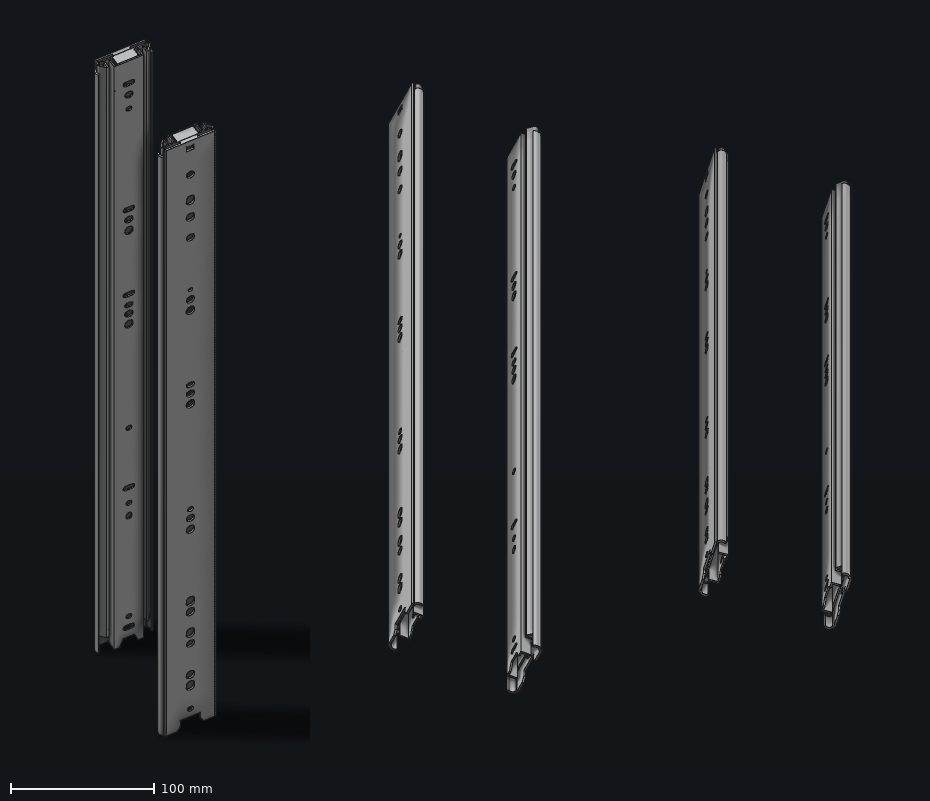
import cadquery as cq
import math


pair_width = 100.0
slide_length = 600.0
slide_height = 45.7
slide_depth = 12.7
sheet = 1.2
outer_sheet = 1.5
half_height = slide_height / 2

web_half = 20.9
web_bevel_depth = 0.7
web_bevel_height = 1.5
race_radius = 4.5
race_x = 5.2
race_y = half_height - race_radius
race_end_angle = 50.0
flange_top = slide_length - 7.5
notch_half = 8.0
notch_mouth_half = 10.5
notch_flare_height = 4.0
notch_height = 10.0
window_width = 6.0
window_height = 4.4
window_z = 592.5

middle_web_x = 3.3
middle_bottom = 16.0
rail_inner_y = 15.0
rail_tip_x = 10.8
rail_tip_y = 17.0
rail_radius = 2.7
rail_start_angle = 170.0
rail_return_x = 5.4

inner_bottom = 2.7
inner_half = 11.8
inner_flange_x = 5.0
inner_notch_top = 10.0
inner_notch_top_half = 4.5
inner_notch_mouth_half = 7.5

stop_thickness = 1.5
stop_bottom = slide_length - stop_thickness
outer_stop_half = 7.0
middle_stop_half = 8.6
stop_clearance = 0.05

pilot = 3.3
screw = 4.6
large = 6.4
slot_height = 7.6
tall_slot_height = 9.0
access_slot_width = 9.0

through_holes = [
    (565.3, large, large),
    (437.5, large, large),
    (426.3, large, slot_height),
    (350.0, large, screw),
    (341.0, large, large),
    (330.3, large, slot_height),
]
outer_holes = [
    (539.3, large, tall_slot_height),
    (522.0, large, slot_height),
    (501.0, large, large),
    (447.5, pilot, pilot),
    (222.5, screw, screw),
    (213.5, large, large),
    (202.0, large, slot_height),
    (128.3, large, tall_slot_height),
    (117.5, large, slot_height),
    (96.0, large, tall_slot_height),
    (85.0, large, large),
    (53.0, large, slot_height),
    (42.0, large, tall_slot_height),
    (18.0, screw, screw),
]
inner_holes = [
    (577.0, access_slot_width, screw),
    (551.0, screw, screw),
    (448.0, access_slot_width, screw),
    (361.0, access_slot_width, screw),
    (224.0, screw, screw),
    (163.0, access_slot_width, screw),
    (147.0, screw, screw),
    (134.0, screw, large),
    (31.0, screw, screw),
    (20.0, access_slot_width, screw),
]


def race_point(radius, angle):
    """Point at an angle on a circle about the +Y ball-race axis."""
    turn = math.radians(angle)
    return (race_x + radius * math.cos(turn), race_y + radius * math.sin(turn))


def box(x_range, y_half, z_range):
    """Block centred on y = 0."""
    depth = x_range[1] - x_range[0]
    height = z_range[1] - z_range[0]
    block = cq.Workplane("XY").box(depth, 2 * y_half, height, centered=(False, True, False))
    return block.translate((x_range[0], 0, z_range[0]))


def both_halves(half):
    """Complete a +Y half profile body by mirroring it about y = 0."""
    return half.union(half.mirror("XZ")).clean()


def cut_holes(body, holes, x_start, depth):
    """Cut round holes and round-ended slots through a web along +X."""
    plane = cq.Workplane("YZ", origin=(x_start, 0, 0))
    for z, width, height in holes:
        spot = plane.center(0, z)
        if width == height:
            cutter = spot.circle(width / 2).extrude(depth)
        elif width > height:
            cutter = spot.slot2D(width, height).extrude(depth)
        else:
            cutter = spot.slot2D(height, width, 90).extrude(depth)
        body = body.cut(cutter)
    return body


def cut_end_notch(body, half_outline, x_start, depth):
    """Cut a symmetric bottom notch given its +Y corner points from the mouth up."""
    other_half = [(-y, z) for y, z in reversed(half_outline)]
    cutter = (
        cq.Workplane("YZ", origin=(x_start, 0, 0))
        .polyline(half_outline + other_half)
        .close()
        .extrude(depth)
    )
    return body.cut(cutter)


def make_outer_member():
    """Mounting channel with rounded flanges, a bottom notch and a top stop tab."""
    race_inner_radius = race_radius - outer_sheet
    shoulder_inner_y = web_half - outer_sheet
    shoulder_x = race_x - math.sqrt(race_radius**2 - (web_half - race_y) ** 2)
    shoulder_inner_x = race_x - math.sqrt(race_inner_radius**2 - (shoulder_inner_y - race_y) ** 2)
    half = (
        cq.Workplane("XY")
        .lineTo(0, web_half - web_bevel_height)
        .lineTo(web_bevel_depth, web_half)
        .lineTo(shoulder_x, web_half)
        .threePointArc((race_x, half_height), race_point(race_radius, race_end_angle))
        .lineTo(*race_point(race_inner_radius, race_end_angle))
        .threePointArc((race_x, half_height - outer_sheet), (shoulder_inner_x, shoulder_inner_y))
        .lineTo(outer_sheet, shoulder_inner_y)
        .lineTo(outer_sheet, 0)
        .close()
        .extrude(slide_length)
    )
    body = both_halves(half)
    flange_relief = box((outer_sheet, slide_depth), half_height, (flange_top, slide_length))
    body = body.cut(flange_relief)
    stop_end = middle_web_x - stop_clearance
    stop_tab = box((0, stop_end), outer_stop_half, (stop_bottom, slide_length))
    body = body.union(stop_tab).clean()
    notch = [(notch_mouth_half, 0), (notch_half, notch_flare_height), (notch_half, notch_height)]
    body = cut_end_notch(body, notch, 0, outer_sheet)
    window_z_range = (window_z - window_height / 2, window_z + window_height / 2)
    body = body.cut(box((0, outer_sheet), window_width / 2, window_z_range))
    return cut_holes(body, through_holes + outer_holes, 0, outer_sheet)


def make_intermediate_member():
    """Channel with curled rails along both sides and a top stop plate."""
    web_inside = middle_web_x + sheet
    rail_inner_radius = rail_radius - sheet
    rail_start = race_point(rail_radius, rail_start_angle)
    half = (
        cq.Workplane("XY", origin=(0, 0, middle_bottom))
        .moveTo(middle_web_x, 0)
        .lineTo(middle_web_x, rail_start[1])
        .lineTo(*rail_start)
        .threePointArc(race_point(rail_radius, 90), race_point(rail_radius, race_end_angle))
        .lineTo(rail_tip_x, rail_tip_y)
        .lineTo(rail_tip_x, rail_inner_y)
        .lineTo(rail_return_x, rail_inner_y)
        .lineTo(rail_return_x, rail_inner_y + sheet)
        .lineTo(rail_tip_x - sheet, rail_inner_y + sheet)
        .lineTo(*race_point(rail_inner_radius, race_end_angle))
        .threePointArc(race_point(rail_inner_radius, 90), race_point(rail_inner_radius, rail_start_angle))
        .lineTo(web_inside, rail_inner_y + sheet)
        .lineTo(web_inside, 0)
        .close()
        .extrude(slide_length - middle_bottom)
    )
    body = both_halves(half)
    stop_end = slide_depth - sheet - stop_clearance
    stop_plate = box((web_inside, stop_end), middle_stop_half, (stop_bottom, slide_length))
    body = body.union(stop_plate).clean()
    return cut_holes(body, through_holes, middle_web_x, sheet)


def make_inner_member():
    """Square channel opening toward the mounting face, notched at the bottom."""
    web_x = slide_depth - sheet
    z_range = (inner_bottom, slide_length)
    body = box((inner_flange_x, slide_depth), inner_half, z_range)
    body = body.cut(box((inner_flange_x, web_x), inner_half - sheet, z_range))
    notch = [(inner_notch_mouth_half, inner_bottom), (inner_notch_top_half, inner_notch_top)]
    body = cut_end_notch(body, notch, web_x, sheet)
    return cut_holes(body, through_holes + inner_holes, web_x, sheet)


bodies = []
for member in (make_outer_member(), make_intermediate_member(), make_inner_member()):
    left_member = member.translate((-pair_width / 2, 0, 0))
    bodies.append(left_member.val())
    bodies.append(left_member.mirror("YZ").val())

result = cq.Compound.makeCompound(bodies)